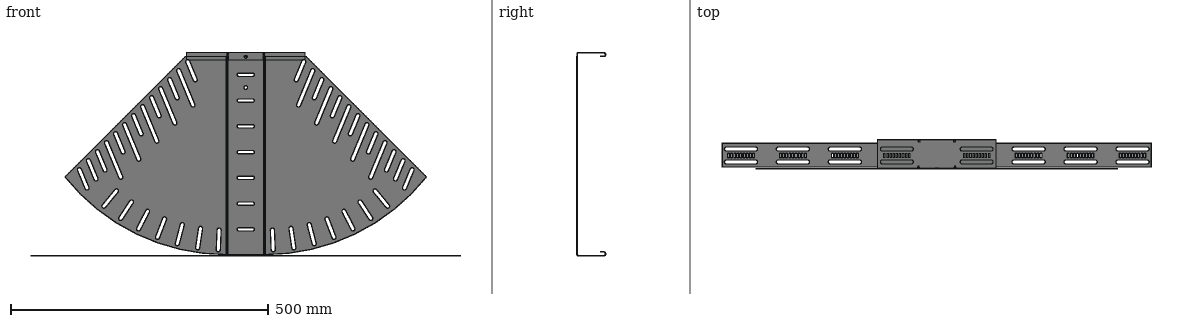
import cadquery as cq
import math

length = 834.0
depth = 57.0
height = 395.0
front = -depth / 2
back = depth / 2
top = height / 2

sheet = 1.0
bend_radius = 2.1
curl_radius = 4.0
lip_length = 7.0

fan_corner_x = 351.0
fan_corner_z = -44.0
fan_top = 190.0
fan_bottom = -195.0
fan_top_half = fan_corner_x - (fan_top - fan_corner_z)
fold_x = 37.5
fold_width = 2.5
fold_depth = 0.4
notch_floor = 183.0

slot_width = 7.5
short_slot = 46.0
long_slot = 80.0
edge_slot_tilt = 22.5
edge_slot_pitch = 17.5
edge_slot_count = 13
long_slot_places = (1, 3, 5, 7, 9)
first_slot_x = 114.0
first_slot_z = 183.5
rim_pivot_x = 38.0
rim_pivot_z = 187.0
rim_slot_radius = 354.0
rim_slot_count = 7
rim_slot_start = 2.3
rim_slot_step = 6.2

web_slot_length = 33.0
web_slot_width = 6.0
web_slot_pitch = 50.0
web_slot_count = 7
web_slot_mid_z = 4.0
pilot_diameter = 7.0
pilot_z = 129.0

web_front = front + sheet
web_half = 34.0
flange_front = web_front + bend_radius
curl_center_y = back - curl_radius
short_flange = 230.0
strip_back = 22.0
relief_width = 2.5
relief_depth = 2.5
neck_hole_diameter = 5.0
neck_hole_z = 189.0
curl_hole_diameter = 4.0
curl_hole_y = 26.0

group_pitch = 101.0
inner_group_x = 77.5
strip_groups = 3
long_perforation = 64.0
perforation_width = 7.5
perforation_offset = 12.5
group_y = -2.5
window_width = 3.0
window_pitch = 2 * window_width
window_height = 8.0
window_count = 9


def box(x_range, y_range, z_range):
    """Block between the given limits."""
    size = [high - low for low, high in (x_range, y_range, z_range)]
    corner = cq.Vector(x_range[0], y_range[0], z_range[0])
    return cq.Workplane(cq.Solid.makeBox(*size, corner))


def front_sketch():
    """Sketch plane at the front face; local axes are X and Z, extrusion by a negative length goes back."""
    return cq.Workplane("XZ", origin=(0, front, 0))


def slot_tool(x, z, slot_length, width, tilt):
    """Cutter for a round-ended slot whose long axis makes the angle tilt with the X axis."""
    tool = front_sketch().center(x, z).slot2D(slot_length, width, tilt)
    return tool.extrude(-2 * sheet)


def hole_tool(z, diameter):
    """Cutter for a round hole on the centre line of the middle strip."""
    return front_sketch().center(0, z).circle(diameter / 2).extrude(-2 * sheet)


def web_tools():
    """Cutters for the column of slots and the pilot hole of the middle strip."""
    lowest = web_slot_mid_z - web_slot_pitch * (web_slot_count - 1) / 2
    tools = hole_tool(pilot_z, pilot_diameter)
    for i in range(web_slot_count):
        tools = tools.add(slot_tool(0, lowest + i * web_slot_pitch, web_slot_length, web_slot_width, 0))
    return tools


def cut_all(body, tools):
    """Body with every solid of the cutter stack removed."""
    for tool in tools.vals():
        body = body.cut(cq.Workplane(tool))
    return body


def fan_blank():
    """Flat plate: straight top, 45 degree edges, two rim arcs that run into the straight bottom."""
    run = fan_corner_x - fold_x
    rise = fan_corner_z - fan_bottom
    rim_radius = (run**2 + rise**2) / (2 * rise)
    half_angle = math.atan2(run, rim_radius - rise) / 2
    arc_x = fold_x + rim_radius * math.sin(half_angle)
    arc_z = fan_bottom + rim_radius * (1 - math.cos(half_angle))
    outline = (
        front_sketch()
        .moveTo(-fan_top_half, fan_top)
        .lineTo(fan_top_half, fan_top)
        .lineTo(fan_corner_x, fan_corner_z)
        .threePointArc((arc_x, arc_z), (fold_x, fan_bottom))
        .lineTo(-fold_x, fan_bottom)
        .threePointArc((-arc_x, arc_z), (-fan_corner_x, fan_corner_z))
        .close()
    )
    return outline.extrude(-sheet)


def edge_slots(side):
    """Parallel slots, short and long, that start along one 45 degree edge."""
    tools = cq.Workplane()
    tilt = math.radians(edge_slot_tilt)
    for i in range(edge_slot_count):
        slot_length = long_slot if i in long_slot_places else short_slot
        x = first_slot_x + i * edge_slot_pitch - slot_length / 2 * math.sin(tilt)
        z = first_slot_z - i * edge_slot_pitch - slot_length / 2 * math.cos(tilt)
        tools = tools.add(slot_tool(side * x, z, slot_length, slot_width, side * (90 - edge_slot_tilt)))
    return tools


def rim_slots(side):
    """Radial slots along one curved rim."""
    tools = cq.Workplane()
    for i in range(rim_slot_count):
        turn = rim_slot_start + i * rim_slot_step
        x = rim_pivot_x + rim_slot_radius * math.sin(math.radians(turn))
        z = rim_pivot_z - rim_slot_radius * math.cos(math.radians(turn))
        tools = tools.add(slot_tool(side * x, z, short_slot, slot_width, side * (turn - 90)))
    return tools


def make_fan():
    fan = fan_blank()
    notch_half = fold_x - fold_width / 2
    fan = fan.cut(box((-notch_half, notch_half), (front, web_front), (notch_floor, top)))
    for side in (-1, 1):
        fold = side * fold_x
        x_range = (fold - fold_width / 2, fold + fold_width / 2)
        fan = fan.cut(box(x_range, (front, front + fold_depth), (-top, top)))
        fan = cut_all(fan, edge_slots(side))
        fan = cut_all(fan, rim_slots(side))
    return cut_all(fan, web_tools())


def bend(half_width):
    """Quarter bend from the web plane into the top flange."""
    sweep = math.sqrt(0.5)
    inner = bend_radius - sheet
    axis_z = top - bend_radius
    profile = (
        cq.Workplane("YZ", origin=(-half_width, 0, 0))
        .moveTo(web_front, axis_z)
        .threePointArc((flange_front - bend_radius * sweep, axis_z + bend_radius * sweep), (flange_front, top))
        .lineTo(flange_front, top - sheet)
        .threePointArc((flange_front - inner * sweep, axis_z + inner * sweep), (web_front + sheet, axis_z))
        .close()
    )
    return profile.extrude(2 * half_width)


def curl(half_width):
    """Half-round rim with a short return lip below the back of the top flange."""
    axis_z = top - curl_radius
    inner = curl_radius - sheet
    lip_end = curl_center_y - lip_length
    profile = (
        cq.Workplane("YZ", origin=(-half_width, 0, 0))
        .moveTo(curl_center_y, top)
        .threePointArc((back, axis_z), (curl_center_y, axis_z - curl_radius))
        .lineTo(lip_end, axis_z - curl_radius)
        .lineTo(lip_end, axis_z - inner)
        .lineTo(curl_center_y, axis_z - inner)
        .threePointArc((back - sheet, axis_z), (curl_center_y, top - sheet))
        .close()
    )
    return profile.extrude(2 * half_width)


def perforation(x):
    """Cutters for one group: two long slots with a row of small windows between them."""
    sketch = cq.Workplane("XY", origin=(x, group_y, -sheet))
    slots = sketch.pushPoints([(0, -perforation_offset), (0, perforation_offset)])
    slots = slots.slot2D(long_perforation, perforation_width).extrude(2 * sheet)
    windows = sketch.rarray(window_pitch, 8, window_count, 1)
    windows = windows.rect(window_width, window_height).extrude(2 * sheet)
    return slots.add(windows)


def top_flange():
    """Short flange with bend, front leg and curled rim; relieved on both sides of the web."""
    half = short_flange / 2
    flange = box((-half, half), (flange_front, curl_center_y), (top - sheet, top))
    leg = box((-half, half), (web_front, web_front + sheet), (notch_floor, top - bend_radius))
    flange = flange.union(bend(half)).union(leg).union(curl(half))
    for side in (-1, 1):
        flange = cut_all(flange, perforation(side * inner_group_x).translate((0, 0, top)))
        x_range = sorted((side * web_half, side * (web_half + relief_width)))
        flange = flange.cut(box(x_range, (front, flange_front + relief_depth), (notch_floor, top)))
        hole = cq.Workplane("XY", origin=(side * web_half, curl_hole_y, top - curl_radius))
        flange = flange.cut(hole.circle(curl_hole_diameter / 2).extrude(curl_radius))
    return flange


def bottom_flange():
    """Long flat strip; as wide as the web, it has a bend at the front and a curled rim at the back."""
    z_range = (-top, sheet - top)
    strip = box((-length / 2, length / 2), (flange_front, strip_back), z_range)
    for side in (-1, 1):
        for i in range(1, strip_groups + 1):
            x = side * (inner_group_x + i * group_pitch)
            strip = cut_all(strip, perforation(x).translate((0, 0, -top)))
    middle = box((-web_half, web_half), (strip_back, curl_center_y), z_range)
    return strip.union(middle).union(curl(web_half).mirror("XY")).union(bend(web_half).mirror("XY"))


def make_frame():
    web_end = top - bend_radius
    web = box((-web_half, web_half), (web_front, web_front + sheet), (-web_end, web_end))
    frame = web.union(top_flange()).union(bottom_flange())
    return cut_all(frame, web_tools().add(hole_tool(neck_hole_z, neck_hole_diameter)))


fan = make_fan()
frame = make_frame()

result = cq.Compound.makeCompound([fan.val(), frame.val()])